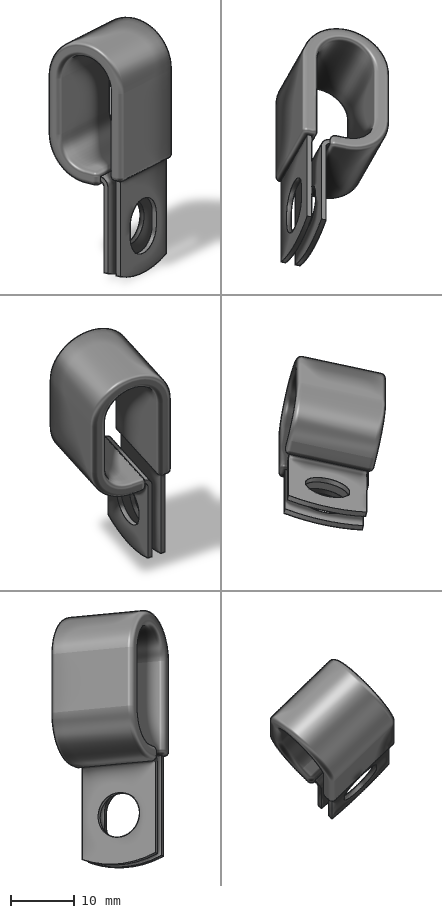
import cadquery as cq
import math

DIAGONAL = math.sqrt(0.5)

STRAP_THICKNESS = 0.8
STRAP_WIDTH = 12.7
TAB_GAP = 1.6
TAB_BEND_RADIUS = 0.8
TAB_END_SAG = 1.25
HOLE_DIAMETER = 7.17
HOLE_HEIGHT = 7.92
SLOT_TRAVEL = 2.05

CUSHION_COVER = 0.8
OUTER_RADIUS = 7.17
TOTAL_HEIGHT = 39.62
LOWER_ARC_HEIGHT = 22.98
FOOT_END_X = 2.55
LEG_END_HEIGHT = 17.4

CUSHION_THICKNESS = STRAP_THICKNESS + 2 * CUSHION_COVER
CUSHION_WIDTH = STRAP_WIDTH + 2 * CUSHION_COVER
INNER_RADIUS = OUTER_RADIUS - CUSHION_THICKNESS
UPPER_ARC_HEIGHT = TOTAL_HEIGHT - OUTER_RADIUS
FOOT_BOTTOM = LOWER_ARC_HEIGHT - OUTER_RADIUS
FOOT_TOP = FOOT_BOTTOM + CUSHION_THICKNESS

RIGHT_TAB_X = INNER_RADIUS + CUSHION_COVER
LEFT_TAB_X = RIGHT_TAB_X - TAB_GAP - STRAP_THICKNESS
LEFT_TAB_OUTER_X = LEFT_TAB_X + STRAP_THICKNESS
STRAP_BOTTOM = FOOT_BOTTOM + CUSHION_COVER
STRAP_TOP = STRAP_BOTTOM + STRAP_THICKNESS
BEND_OUTER_RADIUS = TAB_BEND_RADIUS + STRAP_THICKNESS
BEND_X = LEFT_TAB_X - TAB_BEND_RADIUS
BEND_HEIGHT = STRAP_BOTTOM - TAB_BEND_RADIUS
STRAP_EMBED = 0.4


def extrude_centred(profile, width):
    """Extrude an XZ profile symmetrically about Y = 0."""
    return profile.extrude(width / 2, both=True)


def make_cushion():
    """J-shaped loop with every free edge rounded."""
    profile = (
        cq.Workplane("XZ")
        .moveTo(OUTER_RADIUS, LEG_END_HEIGHT)
        .lineTo(OUTER_RADIUS, UPPER_ARC_HEIGHT)
        .threePointArc((0, TOTAL_HEIGHT), (-OUTER_RADIUS, UPPER_ARC_HEIGHT))
        .lineTo(-OUTER_RADIUS, LOWER_ARC_HEIGHT)
        .threePointArc(
            (-OUTER_RADIUS * DIAGONAL, LOWER_ARC_HEIGHT - OUTER_RADIUS * DIAGONAL),
            (0, FOOT_BOTTOM),
        )
        .lineTo(FOOT_END_X, FOOT_BOTTOM)
        .lineTo(FOOT_END_X, FOOT_TOP)
        .lineTo(0, FOOT_TOP)
        .threePointArc(
            (-INNER_RADIUS * DIAGONAL, LOWER_ARC_HEIGHT - INNER_RADIUS * DIAGONAL),
            (-INNER_RADIUS, LOWER_ARC_HEIGHT),
        )
        .lineTo(-INNER_RADIUS, UPPER_ARC_HEIGHT)
        .threePointArc((0, UPPER_ARC_HEIGHT + INNER_RADIUS), (INNER_RADIUS, UPPER_ARC_HEIGHT))
        .lineTo(INNER_RADIUS, LEG_END_HEIGHT)
        .close()
    )
    body = extrude_centred(profile, CUSHION_WIDTH)
    foot_end = cq.selectors.NearestToPointSelector((FOOT_END_X, 0, (FOOT_BOTTOM + FOOT_TOP) / 2))
    leg_end = cq.selectors.NearestToPointSelector(
        ((INNER_RADIUS + OUTER_RADIUS) / 2, 0, LEG_END_HEIGHT)
    )
    free_edges = (
        body.faces("|Y").edges()
        .add(body.faces(foot_end).edges("|Y"))
        .add(body.faces(leg_end).edges("|Y"))
    )
    return free_edges.fillet(CUSHION_COVER)


def make_left_tab():
    """Strap leaving the foot and bending down into the left tab."""
    profile = (
        cq.Workplane("XZ")
        .moveTo(FOOT_END_X - STRAP_EMBED, STRAP_TOP)
        .lineTo(BEND_X, STRAP_TOP)
        .threePointArc(
            (BEND_X + BEND_OUTER_RADIUS * DIAGONAL, BEND_HEIGHT + BEND_OUTER_RADIUS * DIAGONAL),
            (LEFT_TAB_OUTER_X, BEND_HEIGHT),
        )
        .lineTo(LEFT_TAB_OUTER_X, 0)
        .lineTo(LEFT_TAB_X, 0)
        .lineTo(LEFT_TAB_X, BEND_HEIGHT)
        .threePointArc(
            (BEND_X + TAB_BEND_RADIUS * DIAGONAL, BEND_HEIGHT + TAB_BEND_RADIUS * DIAGONAL),
            (BEND_X, STRAP_BOTTOM),
        )
        .lineTo(FOOT_END_X - STRAP_EMBED, STRAP_BOTTOM)
        .close()
    )
    return extrude_centred(profile, STRAP_WIDTH)


def make_right_tab():
    """Straight strap hanging from the long leg."""
    tab_height = LEG_END_HEIGHT + STRAP_EMBED
    return cq.Workplane("XY").box(
        STRAP_THICKNESS, STRAP_WIDTH, tab_height, centered=(False, True, False)
    ).translate((RIGHT_TAB_X, 0, 0))


def make_end_corners():
    """Material outside the rounded lower ends of both tabs."""
    half_width = STRAP_WIDTH / 2
    return (
        cq.Workplane("YZ")
        .moveTo(-half_width, 0)
        .lineTo(-half_width, TAB_END_SAG)
        .threePointArc((0, 0), (half_width, TAB_END_SAG))
        .lineTo(half_width, 0)
        .close()
        .extrude(OUTER_RADIUS)
    )


def make_bolt_hole():
    """Round hole for the left tab."""
    return (
        cq.Workplane("YZ")
        .center(0, HOLE_HEIGHT)
        .circle(HOLE_DIAMETER / 2)
        .extrude(OUTER_RADIUS)
    )


def make_bolt_slot():
    """Vertical slot for the right tab, as wide as the bolt hole."""
    return (
        cq.Workplane("YZ")
        .center(0, HOLE_HEIGHT)
        .slot2D(HOLE_DIAMETER + SLOT_TRAVEL, HOLE_DIAMETER, 90)
        .extrude(OUTER_RADIUS)
    )


end_corners = make_end_corners()
left_tab = make_left_tab().cut(end_corners).cut(make_bolt_hole())
right_tab = make_right_tab().cut(end_corners).cut(make_bolt_slot())
result = make_cushion().union(left_tab).union(right_tab)